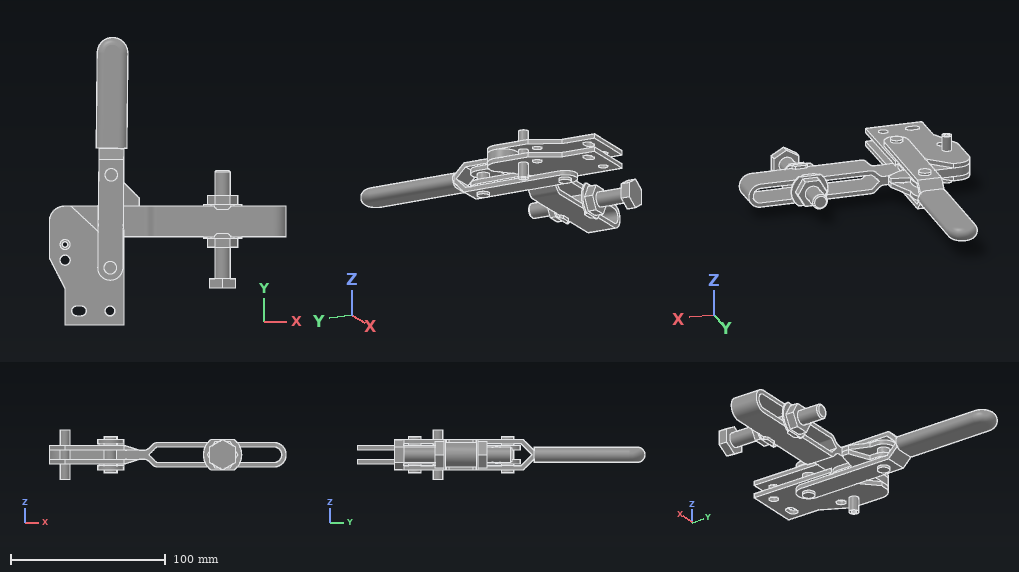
import cadquery as cq
import math


sheet = 3.0
knee_set_back = sheet * math.tan(math.radians(22.5))
inner_plate_z = sheet
leg_outer_z = 10.0
leg_inner_z = leg_outer_z - sheet

pin_diameter = 8.1
pin_length = 23.4
pin_spacing = 60.0
lean = math.radians(0.6)

arm_width = 20.0
arm_top = 39.9
arm_bottom = arm_top - arm_width
arm_middle = arm_top - arm_width / 2
arm_left = -39.4
arm_right = 113.6
loop_outer_radius = 8.0
loop_inner_radius = loop_outer_radius - sheet
loop_center_x = arm_right - loop_outer_radius
neck_knee_x = 23.7
loop_knee_x = neck_knee_x + loop_inner_radius
arm_bend_radius = 4.8

base_left = arm_left
base_right = 8.9
foot_left = -29.4
base_bottom = -37.0
flank_top_y = 6.3
flank_bottom_y = -13.2
base_corner_radius = 10.0
ramp_start_x = -25.5
mount_y = -27.9
mount_hole_diameter = 6.2
mount_slot_x = -20.2
mount_slot_length = 9.3
mount_hole_x = -0.2
stop_x = -29.2
stop_y = 15.0
spare_stop_y = 4.9
stop_diameter = 6.4
stop_bore = 3.4
stop_length = 32.0

link_radius = 8.2
link_lower_y = 29.5
link_clearance_radius = 10.0
tab_root_x = 9.4
tab_end_x = 18.8
tab_corner_y = 45.0

leg_radius = 8.1
knee_y = 69.9
grip_start_y = 77.2
grip_end_y = 148.8
grip_radius = 10.0
grip_half_thickness = 5.0

spindle_x = 72.5
spindle_diameter = 10.0
spindle_top = 62.9
spindle_chamfer = 1.0
head_bottom = -13.1
head_height = 6.0
hex_across_flats = 17.0
nut_height = 5.8
washer_diameter = 24.8
washer_height = 20.0
washer_thickness = 1.0
washer_tab_reach = 2.2
washer_tab_root_half = 5.3
washer_tab_tip_half = 3.6


def along_handle(distance):
    """Point on the leaning handle axis."""
    return (distance * math.sin(lean), distance * math.cos(lean))


def centered_plate(outline, half_thickness):
    return outline.extrude(half_thickness, both=True)


def pin_at(x, y, diameter, length):
    return centered_plate(cq.Workplane("XY").center(x, y).circle(diameter / 2), length / 2)


def mirrored_pair(upper):
    return [upper, upper.mirror("XY")]


handle_pivot = (0.0, 0.0)
link_upper_pivot = along_handle(pin_spacing)
link_lower_pivot = along_handle(link_lower_y)


def make_base_plate():
    center_x, center_y = link_lower_pivot
    offset_x = center_x - ramp_start_x
    offset_y = arm_top - center_y
    span = math.hypot(offset_x, offset_y)
    to_center = math.atan2(-offset_y, offset_x)
    ramp_angle = to_center - math.asin(link_clearance_radius / span)
    ramp_length = math.sqrt(span**2 - link_clearance_radius**2)
    tangent = (
        ramp_start_x + ramp_length * math.cos(ramp_angle),
        arm_top + ramp_length * math.sin(ramp_angle),
    )
    recess_bottom = (center_x, center_y - link_clearance_radius)
    recess_run = base_right - center_x
    recess_end_y = center_y - math.sqrt(link_clearance_radius**2 - recess_run**2)

    plate = (
        cq.Workplane("XY")
        .workplane(offset=inner_plate_z)
        .moveTo(base_left, arm_top)
        .lineTo(ramp_start_x, arm_top)
        .lineTo(*tangent)
        .threePointArc(recess_bottom, (base_right, recess_end_y))
        .lineTo(base_right, base_bottom)
        .lineTo(foot_left, base_bottom)
        .lineTo(foot_left, flank_bottom_y)
        .lineTo(base_left, flank_top_y)
        .close()
        .extrude(sheet)
    )
    rear_corner = cq.selectors.NearestToPointSelector((base_left, arm_top, inner_plate_z + sheet / 2))
    plate = plate.edges(rear_corner).fillet(base_corner_radius)

    holes = pin_at(mount_hole_x, mount_y, mount_hole_diameter, stop_length)
    holes = holes.union(pin_at(stop_x, spare_stop_y, stop_diameter, stop_length))
    slot = cq.Workplane("XY").center(mount_slot_x, mount_y).slot2D(mount_slot_length, mount_hole_diameter)
    return plate.cut(holes).cut(centered_plate(slot, stop_length / 2))


def make_base():
    base = pin_at(*handle_pivot, pin_diameter, pin_length)
    base = base.union(pin_at(stop_x, stop_y, stop_diameter, stop_length))
    for plate in mirrored_pair(make_base_plate()):
        base = base.union(plate)
    return base.cut(pin_at(stop_x, stop_y, stop_bore, stop_length))


def make_link_plate():
    link_length = pin_spacing - link_lower_y
    plate = (
        cq.Workplane("XY")
        .workplane(offset=inner_plate_z)
        .center(0, link_lower_y + link_length / 2)
        .slot2D(link_length + 2 * link_radius, 2 * link_radius, 90)
        .extrude(sheet)
        .rotate((0, 0, 0), (0, 0, 1), -math.degrees(lean))
    )

    outer_z = inner_plate_z + sheet
    tab_top = tab_corner_y + tab_end_x
    tab = (
        cq.Workplane("XZ", origin=(0, arm_top, 0))
        .polyline(
            [
                (0, inner_plate_z),
                (tab_root_x, inner_plate_z),
                (tab_end_x, 0),
                (tab_end_x, sheet),
                (tab_root_x, outer_z),
                (0, outer_z),
            ]
        )
        .close()
        .extrude(arm_top - tab_top)
    )
    tab_outline = (
        cq.Workplane("XY")
        .polyline([(0, arm_top), (tab_end_x, arm_top), (tab_end_x, tab_corner_y), (0, tab_top)])
        .close()
        .extrude(outer_z)
    )
    return plate.union(tab.intersect(tab_outline))


def make_links():
    links = pin_at(*link_upper_pivot, pin_diameter, pin_length)
    for plate in mirrored_pair(make_link_plate()):
        links = links.union(plate)
    return links


def make_handle_fork():
    inner_knee_y = knee_y - knee_set_back
    tang_y = knee_y + leg_outer_z - sheet
    outer = [
        (-leg_radius, leg_outer_z),
        (knee_y, leg_outer_z),
        (tang_y, sheet),
        (grip_end_y - grip_radius, sheet),
    ]
    inner = [
        (-leg_radius, leg_inner_z),
        (inner_knee_y, leg_inner_z),
        (inner_knee_y + leg_inner_z, 0),
    ]
    outer_mirror = [(y, -z) for y, z in reversed(outer)]
    inner_mirror = [(y, -z) for y, z in inner[:-1]]
    side_profile = outer + outer_mirror + inner_mirror + inner[::-1]
    fork = centered_plate(cq.Workplane("YZ").polyline(side_profile).close(), leg_radius)

    fork_length = grip_end_y + leg_radius
    face_outline = (
        cq.Workplane("XY")
        .center(0, fork_length / 2 - leg_radius)
        .slot2D(fork_length, 2 * leg_radius, 90)
    )
    return fork.intersect(centered_plate(face_outline, leg_outer_z))


def make_grip():
    tip_y = grip_end_y - grip_radius
    thickness = 2 * grip_half_thickness
    bar = (
        cq.Workplane("XZ", origin=(0, grip_start_y, 0))
        .slot2D(2 * grip_radius, thickness)
        .extrude(grip_start_y - tip_y)
    )
    flat_half_width = grip_radius - grip_half_thickness
    tip = (
        cq.Workplane("XZ", origin=(0, tip_y, 0))
        .moveTo(0, -grip_half_thickness)
        .lineTo(flat_half_width, -grip_half_thickness)
        .threePointArc((grip_radius, 0), (flat_half_width, grip_half_thickness))
        .lineTo(0, grip_half_thickness)
        .close()
        .revolve(180, (0, 0, 0), (0, 1, 0))
    )
    return bar.union(tip)


def make_handle():
    handle = make_handle_fork().union(make_grip())
    handle = handle.rotate((0, 0, 0), (0, 0, 1), -math.degrees(lean))
    for pivot in (handle_pivot, link_upper_pivot):
        handle = handle.cut(pin_at(*pivot, pin_diameter, pin_length))
    return handle


def round_bends(body, knee_x, knee_z, radius):
    for side in (1, -1):
        knee = cq.selectors.NearestToPointSelector((knee_x, arm_middle, side * knee_z))
        body = body.edges(knee).fillet(radius)
    return body


def make_arm():
    half_width = arm_width / 2
    arm = (
        cq.Workplane("XZ", origin=(0, arm_middle, 0))
        .moveTo(arm_left, -sheet)
        .lineTo(neck_knee_x, -sheet)
        .lineTo(loop_knee_x, -loop_outer_radius)
        .lineTo(loop_center_x, -loop_outer_radius)
        .threePointArc((arm_right, 0), (loop_center_x, loop_outer_radius))
        .lineTo(loop_knee_x, loop_outer_radius)
        .lineTo(neck_knee_x, sheet)
        .lineTo(arm_left, sheet)
        .close()
        .extrude(half_width, both=True)
    )
    arm = round_bends(arm, neck_knee_x, sheet, arm_bend_radius)
    arm = round_bends(arm, loop_knee_x, loop_outer_radius, arm_bend_radius)

    vee_x = neck_knee_x + knee_set_back
    inner_knee_x = loop_knee_x + knee_set_back
    window = (
        cq.Workplane("XZ", origin=(0, arm_middle, 0))
        .moveTo(vee_x, 0)
        .lineTo(inner_knee_x, -loop_inner_radius)
        .lineTo(loop_center_x, -loop_inner_radius)
        .threePointArc((loop_center_x + loop_inner_radius, 0), (loop_center_x, loop_inner_radius))
        .lineTo(inner_knee_x, loop_inner_radius)
        .close()
        .extrude(half_width, both=True)
    )

    window = round_bends(window, inner_knee_x, loop_inner_radius, arm_bend_radius - sheet)

    face_outline = (
        cq.Workplane("XY")
        .moveTo(arm_right, arm_bottom)
        .lineTo(arm_right, arm_top)
        .lineTo(arm_left + half_width, arm_top)
        .threePointArc((arm_left, arm_middle), (arm_left + half_width, arm_bottom))
        .close()
    )
    return arm.cut(window).intersect(centered_plate(face_outline, loop_outer_radius))


def along_spindle(start_y):
    """Sketch plane across the spindle axis, extruding toward +Y."""
    plane = cq.Plane(origin=(spindle_x, start_y, 0), xDir=(1, 0, 0), normal=(0, 1, 0))
    return cq.Workplane(plane)


def hexagon(start_y, height, turn):
    across_corners = hex_across_flats / math.cos(math.radians(30))
    block = along_spindle(start_y).polygon(6, across_corners).extrude(height)
    return block.rotate((spindle_x, 0, 0), (spindle_x, 1, 0), turn)


def make_bolt():
    shank_start = head_bottom + head_height
    shank = along_spindle(shank_start).circle(spindle_diameter / 2).extrude(spindle_top - shank_start)
    shank = shank.faces(">Y").chamfer(spindle_chamfer)
    return shank.union(hexagon(head_bottom, head_height, 30))


def make_upper_washer():
    half_height = washer_height / 2
    disc = along_spindle(arm_top).circle(washer_diameter / 2).extrude(washer_thickness)
    flats = along_spindle(arm_top).rect(washer_diameter, washer_height).extrude(washer_thickness)
    washer = disc.intersect(flats)

    tab_tip_y = arm_top - washer_tab_reach
    tab_corner_start = tab_tip_y + washer_tab_root_half - washer_tab_tip_half
    tab = (
        cq.Workplane("XY")
        .workplane(offset=loop_outer_radius)
        .center(spindle_x, 0)
        .polyline(
            [
                (-washer_tab_root_half, arm_top),
                (-washer_tab_root_half, tab_corner_start),
                (-washer_tab_tip_half, tab_tip_y),
                (washer_tab_tip_half, tab_tip_y),
                (washer_tab_root_half, tab_corner_start),
                (washer_tab_root_half, arm_top),
            ]
        )
        .close()
        .extrude(half_height - loop_outer_radius)
    )
    for hook in mirrored_pair(tab):
        washer = washer.union(hook)
    hole = along_spindle(arm_top).circle(spindle_diameter / 2).extrude(washer_thickness)
    return washer.cut(hole)


def make_upper_nut():
    start_y = arm_top + washer_thickness
    hole = along_spindle(start_y).circle(spindle_diameter / 2).extrude(nut_height)
    return hexagon(start_y, nut_height, 0).cut(hole)


def on_both_edges(upper):
    """The part above the arm and its mirror image below it."""
    return [upper, upper.mirror("XZ", (0, arm_middle, 0))]


base = make_base()
links = make_links()
handle = make_handle()
arm = make_arm()
bolt = make_bolt()
washers = on_both_edges(make_upper_washer())
nuts = on_both_edges(make_upper_nut())

bodies = [base, links, handle, arm, bolt, *washers, *nuts]
result = cq.Compound.makeCompound([body.solids().val() for body in bodies])